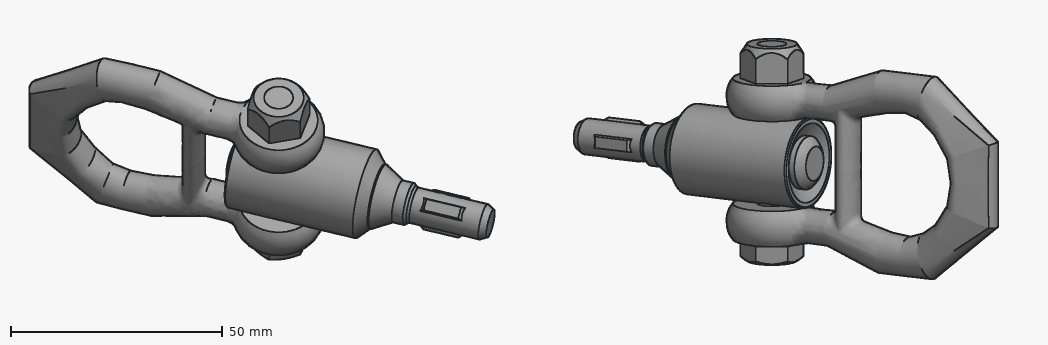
import cadquery as cq
import math


BARREL_RADIUS = 10.9
BARREL_LEFT = -10.2
BARREL_RIGHT = 21.7
BARREL_EDGE = 0.3
NECK_LEFT = 24.5
NECK_RIGHT = 24.8
NECK_RADIUS = 7.9
COLLAR_LEFT = 29.6
COLLAR_RIGHT = 32.3
COLLAR_RADIUS = 5.1
STEP_X = 33.0
STEP_RADIUS = 4.6
SHAFT_LEFT = 33.7
SHAFT_RADIUS = 4.3
SHAFT_RIGHT = 52.5
SHAFT_END_RADIUS = 3.4
SHAFT_END_LENGTH = 1.7

DISH_RADIUS = 9.5
BUTTON_TIP = 1.6
BUTTON_TIP_RADIUS = 4.1
BUTTON_RADIUS = 6.4
BUTTON_BASE = 0.2
BUTTON_BULGE_HEIGHT = 0.6
BUTTON_BULGE_RADIUS = 5.7
DISH_DEPTH = 1.7

KEY_COUNT = 3
FIRST_KEY_ANGLE = 30
KEY_CENTRE = 41.4
KEY_TOP_LENGTH = 8.6
KEY_TOP_WIDTH = 2.7
KEY_TOP_RADIUS = 4.9
KEY_ROOT_RADIUS = 3.4
KEY_END_SLOPE = 1.0
KEY_SIDE_SLOPE = 0.28

BOLT_RADIUS = 3.4
HEX_FLATS = 13.0
HEX_TOP_RADIUS = 5.9
NUT_HEIGHT = 8.3
NUT_CORNER_DROP = 2.4
HEAD_HEIGHT = 4.6
HEAD_CORNER_DROP = 1.0
WASHER_FACE_HEIGHT = 0.6

LUG_RADIUS = 10.9
LUG_FACE_RADIUS = 9.3
LUG_INNER = BARREL_RADIUS
LUG_OUTER = 19.4
LUG_MIDDLE = (LUG_INNER + LUG_OUTER) / 2
ROD_HALF_WIDTH = 4.7
ARM_END = -6.9
ARM_INSET = 0.06
ARM_BEND_OUTER_X = -16.2
ARM_BEND_INNER_X = -17.5
ARM_OUTER = LUG_OUTER - ARM_INSET
ARM_INNER = LUG_INNER + ARM_INSET
LUG_BLEND = 3.4

OPENING_CENTRE = -35.3
OPENING_RADIUS = 15.1
NOSE_X = -61.7
NOSE_HALF_LENGTH = 10.3
LOOP_TOP = 24.5
LOOP_TOP_LEFT = -44.6
LOOP_TOP_MIDDLE = -37.7
LOOP_TOP_RIGHT = -30.0
LOOP_TOP_INNER = (-37.7, 15.0)
LOOP_BEND_INNER = (-32.5, 14.5)

NOSE_CORNER_ANGLE = 21.6
SHOULDER_ANGLE = 45
LOOP_TOP_ANGLE = 65


def opening_point(degrees):
    """A point on the rim of the opening, the angle measured upward from the nose."""
    angle = math.radians(degrees)
    return (OPENING_CENTRE - OPENING_RADIUS * math.cos(angle), OPENING_RADIUS * math.sin(angle))


NOSE_EDGE = (2.3, 0.8, 0.71)
SHOULDER_EDGE = (3.1, 1.6, 0.6)
NOSE_CORNER = (NOSE_X, NOSE_HALF_LENGTH)
SHOULDER_MIDDLE = ((NOSE_X + LOOP_TOP_LEFT) / 2, (NOSE_HALF_LENGTH + LOOP_TOP) / 2)
NOSE_SECTIONS = [
    ((NOSE_X, 0), opening_point(0), *NOSE_EDGE),
    (NOSE_CORNER, opening_point(NOSE_CORNER_ANGLE), *NOSE_EDGE),
    (SHOULDER_MIDDLE, opening_point(SHOULDER_ANGLE), *SHOULDER_EDGE),
]
ROD_SECTIONS = [
    ((LOOP_TOP_LEFT, LOOP_TOP), opening_point(LOOP_TOP_ANGLE)),
    ((LOOP_TOP_MIDDLE, LOOP_TOP), LOOP_TOP_INNER),
    ((LOOP_TOP_RIGHT, LOOP_TOP), LOOP_BEND_INNER),
    ((ARM_BEND_OUTER_X, ARM_OUTER), (ARM_BEND_INNER_X, ARM_INNER)),
    ((ARM_END, ARM_OUTER), (ARM_END, ARM_INNER)),
]

CROSSBAR_X = -21.0
CROSSBAR_HALF_LENGTH = 2.5
CROSSBAR_HALF_WIDTH = 4.3
CROSSBAR_BLEND = 1.7


def swivel_body():
    tip_x = BARREL_LEFT - BUTTON_TIP
    profile = (
        cq.Workplane("XZ")
        .moveTo(tip_x, 0)
        .lineTo(tip_x, BUTTON_TIP_RADIUS)
        .threePointArc(
            (BARREL_LEFT - BUTTON_BULGE_HEIGHT, BUTTON_BULGE_RADIUS),
            (BARREL_LEFT + BUTTON_BASE, BUTTON_RADIUS),
        )
        .lineTo(BARREL_LEFT + DISH_DEPTH, BUTTON_RADIUS)
        .lineTo(BARREL_LEFT, DISH_RADIUS)
        .lineTo(BARREL_LEFT, BARREL_RADIUS - BARREL_EDGE)
        .lineTo(BARREL_LEFT + BARREL_EDGE, BARREL_RADIUS)
        .lineTo(BARREL_RIGHT, BARREL_RADIUS)
        .lineTo(NECK_LEFT, NECK_RADIUS)
        .lineTo(NECK_RIGHT, NECK_RADIUS)
        .lineTo(COLLAR_LEFT, COLLAR_RADIUS)
        .lineTo(COLLAR_RIGHT, COLLAR_RADIUS)
        .lineTo(STEP_X, STEP_RADIUS)
        .lineTo(SHAFT_LEFT, SHAFT_RADIUS)
        .lineTo(SHAFT_RIGHT - SHAFT_END_LENGTH, SHAFT_RADIUS)
        .lineTo(SHAFT_RIGHT, SHAFT_END_RADIUS)
        .lineTo(SHAFT_RIGHT, 0)
        .close()
    )
    return profile.revolve(360, (0, 0, 0), (1, 0, 0))


def shaft_key():
    """One key standing up along Z, wider at its root than at its top."""
    height = KEY_TOP_RADIUS - KEY_ROOT_RADIUS
    root_length = KEY_TOP_LENGTH + 2 * height * KEY_END_SLOPE
    root_width = KEY_TOP_WIDTH + 2 * height * KEY_SIDE_SLOPE
    return (
        cq.Workplane("XY", origin=(KEY_CENTRE, 0, KEY_ROOT_RADIUS))
        .rect(root_length, root_width)
        .workplane(offset=height)
        .rect(KEY_TOP_LENGTH, KEY_TOP_WIDTH)
        .loft()
    )


def make_swivel():
    swivel = swivel_body()
    for i in range(KEY_COUNT):
        angle = FIRST_KEY_ANGLE + i * 360 / KEY_COUNT
        swivel = swivel.union(shaft_key().rotate((0, 0, 0), (1, 0, 0), angle))
    return swivel.cut(bolt_hole())


def bolt_hole():
    return cq.Workplane("XY").circle(BOLT_RADIUS).extrude(2 * LUG_OUTER).translate((0, 0, -LUG_OUTER))


def chamfered_hexagon(height, corner_drop):
    """A hexagon standing on z = 0, its top corners turned down to a cone."""
    corner_radius = HEX_FLATS / math.sqrt(3)
    prism = cq.Workplane("XY").polygon(6, 2 * corner_radius).extrude(height)
    prism = prism.rotate((0, 0, 0), (0, 0, 1), 90)
    envelope = (
        cq.Workplane("XZ")
        .lineTo(corner_radius, 0)
        .lineTo(corner_radius, height - corner_drop)
        .lineTo(HEX_TOP_RADIUS, height)
        .lineTo(0, height)
        .close()
        .revolve(360, (0, 0, 0), (0, 1, 0))
    )
    return prism.intersect(envelope)


def make_nut():
    hexagon = chamfered_hexagon(NUT_HEIGHT, NUT_CORNER_DROP)
    return hexagon.faces("<Z").workplane().circle(BOLT_RADIUS).cutThruAll().translate((0, 0, LUG_OUTER))


def make_bolt():
    head_top = -LUG_OUTER - WASHER_FACE_HEIGHT
    head = chamfered_hexagon(HEAD_HEIGHT, HEAD_CORNER_DROP).rotate((0, 0, 0), (1, 0, 0), 180)
    washer_face = cq.Workplane("XY").circle(HEX_TOP_RADIUS).extrude(WASHER_FACE_HEIGHT)
    shank = cq.Workplane("XY").circle(BOLT_RADIUS).extrude(LUG_OUTER + NUT_HEIGHT - head_top)
    return head.union(washer_face).union(shank).translate((0, 0, head_top))


def section_plane(outer, inner):
    """A plane across the loop: local x points outward from the section's middle, local y along Y."""
    dx = outer[0] - inner[0]
    dz = outer[1] - inner[1]
    middle = ((outer[0] + inner[0]) / 2, 0, (outer[1] + inner[1]) / 2)
    return cq.Workplane(cq.Plane(middle, (dx, 0, dz), (-dz, 0, dx))), math.hypot(dx, dz)


def rod_section(outer, inner):
    plane, depth = section_plane(outer, inner)
    return plane.ellipse(depth / 2, ROD_HALF_WIDTH).wires().val()


def nose_section(outer, inner, edge_half_width, crown, taper_share):
    plane, depth = section_plane(outer, inner)
    edge = depth / 2
    shoulder = edge - taper_share * depth
    run = shoulder - (edge - crown)
    rise = ROD_HALF_WIDTH - edge_half_width
    side = (run, rise)
    back = (-run, rise)
    return (
        plane.moveTo(edge - crown, -edge_half_width)
        .threePointArc((edge, 0), (edge - crown, edge_half_width))
        .lineTo(shoulder, ROD_HALF_WIDTH)
        .spline([(-edge, 0)], tangents=[side, (0, -1)], includeCurrent=True)
        .spline([(shoulder, -ROD_HALF_WIDTH)], tangents=[(0, -1), back], includeCurrent=True)
        .close()
        .wires()
        .val()
    )


def half_loop():
    wires = [nose_section(*shape) for shape in NOSE_SECTIONS]
    wires += [rod_section(*ends) for ends in ROD_SECTIONS]
    half = cq.Workplane("XY")
    for start, end in zip(wires, wires[1:]):
        half = half.union(cq.Workplane(cq.Solid.makeLoft([start, end], True)))
    return half


def lug():
    return (
        cq.Workplane("XZ")
        .moveTo(0, LUG_INNER)
        .lineTo(LUG_FACE_RADIUS, LUG_INNER)
        .threePointArc((LUG_RADIUS, LUG_MIDDLE), (LUG_FACE_RADIUS, LUG_OUTER))
        .lineTo(0, LUG_OUTER)
        .close()
        .revolve(360, (0, 0, 0), (0, 1, 0))
    )


def crossbar():
    return (
        cq.Workplane("XY", origin=(CROSSBAR_X, 0, 0))
        .ellipse(CROSSBAR_HALF_LENGTH, CROSSBAR_HALF_WIDTH)
        .extrude(LUG_MIDDLE)
    )


def joint_box(x_middle, x_reach, y_reach, z_low, z_high):
    """A selector for the edges whose centres lie in a box about the XZ plane."""
    return cq.selectors.BoxSelector(
        (x_middle - x_reach, -y_reach, z_low), (x_middle + x_reach, y_reach, z_high)
    )


def make_yoke():
    half = half_loop().union(lug())
    arm_seam = joint_box(-LUG_FACE_RADIUS, LUG_RADIUS - LUG_FACE_RADIUS, LUG_RADIUS, LUG_INNER, LUG_OUTER)
    half = half.edges(arm_seam).fillet(LUG_BLEND)
    half = half.union(crossbar())
    bar_seam = joint_box(
        CROSSBAR_X, CROSSBAR_HALF_LENGTH, CROSSBAR_HALF_WIDTH, LUG_INNER, LUG_MIDDLE
    )
    half = half.edges(bar_seam).fillet(CROSSBAR_BLEND)
    yoke = half.union(half.mirror("XY"))
    return yoke.cut(bolt_hole())


yoke = make_yoke().solids()
swivel = make_swivel().solids()
bolt = make_bolt().solids()
nut = make_nut().solids()

result = cq.Compound.makeCompound([yoke.val(), swivel.val(), bolt.val(), nut.val()])